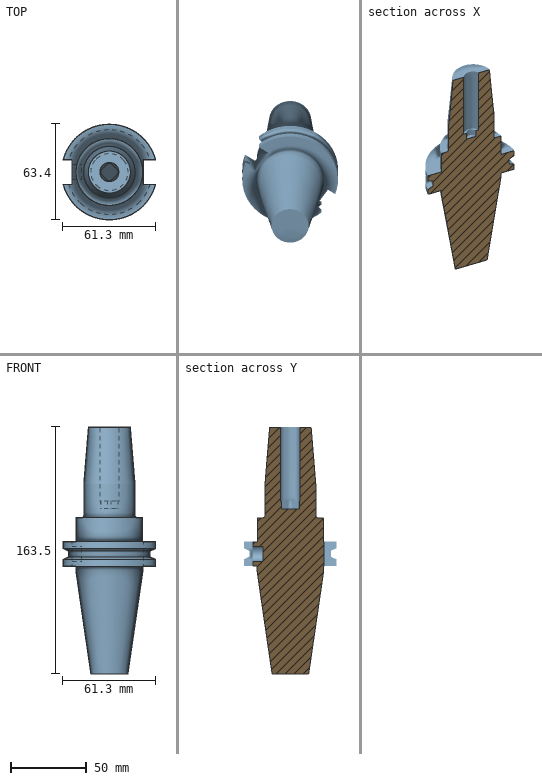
import cadquery as cq

total_height = 163.5
taper_height = 68.4
flange_bottom = 71.3
flange_top = 87.7
collar_top = 103.5
nose_start = 125.6

taper_small_radius = 12.3
taper_large_radius = 22.2
flange_radius = 31.7
groove_radius = 28.1
collar_radius = 22.0
neck_radius = 17.0
nose_tip_radius = 13.9
neck_fillet = 1.5

groove_floor_width = 3.8
groove_mouth_width = 7.4
flange_middle = (flange_bottom + flange_top) / 2

slot_width = 16.2
left_slot_floor = 24.9
right_slot_floor = 22.5

side_hole_diameter = 9.8
side_hole_depth = 6.5

bore_diameter = 12.6
bore_depth = 49.0
recess_across_flats = 9.6
recess_corner_diameter = 11.5
recess_depth = 4.9


def turned_body():
    """Revolve the taper, grooved flange, collar, neck and tapered nose about Z."""
    floor_half = groove_floor_width / 2
    mouth_half = groove_mouth_width / 2
    arc_offset = neck_fillet * (1 - 0.5**0.5)
    return (
        cq.Workplane("XZ")
        .lineTo(taper_small_radius, 0)
        .lineTo(taper_large_radius, taper_height)
        .lineTo(taper_large_radius, flange_bottom)
        .lineTo(flange_radius, flange_bottom)
        .lineTo(flange_radius, flange_middle - mouth_half)
        .lineTo(groove_radius, flange_middle - floor_half)
        .lineTo(groove_radius, flange_middle + floor_half)
        .lineTo(flange_radius, flange_middle + mouth_half)
        .lineTo(flange_radius, flange_top)
        .lineTo(collar_radius, flange_top)
        .lineTo(collar_radius, collar_top)
        .lineTo(neck_radius + neck_fillet, collar_top)
        .threePointArc(
            (neck_radius + arc_offset, collar_top + arc_offset),
            (neck_radius, collar_top + neck_fillet),
        )
        .lineTo(neck_radius, nose_start)
        .lineTo(nose_tip_radius, total_height)
        .lineTo(0, total_height)
        .close()
        .revolve(360, (0, 0, 0), (0, 1, 0))
    )


def drive_slot(side, floor):
    """Block that cuts a slot through the flange; side is -1 for -X, +1 for +X."""
    depth = flange_radius - floor
    return cq.Workplane("XY").box(depth, slot_width, flange_top - flange_bottom).translate(
        (side * (floor + depth / 2), 0, flange_middle)
    )


def side_hole():
    """Blind hole running in +X from the floor of the -X slot."""
    return (
        cq.Workplane("YZ", origin=(-left_slot_floor, 0, flange_middle))
        .circle(side_hole_diameter / 2)
        .extrude(side_hole_depth)
    )


def tool_bore():
    """Round bore from the nose."""
    return (
        cq.Workplane("XY", origin=(0, 0, total_height))
        .circle(bore_diameter / 2)
        .extrude(-bore_depth)
    )


def square_recess():
    """Square turned 45 degrees, its corners trimmed round, sunk into the bore floor."""
    floor = cq.Workplane("XY", origin=(0, 0, total_height - bore_depth))
    square = floor.rect(recess_across_flats, recess_across_flats).extrude(-recess_depth)
    round_corners = floor.circle(recess_corner_diameter / 2).extrude(-recess_depth)
    return square.rotate((0, 0, 0), (0, 0, 1), 45).intersect(round_corners)


result = (
    turned_body()
    .cut(drive_slot(-1, left_slot_floor))
    .cut(drive_slot(1, right_slot_floor))
    .cut(side_hole())
    .cut(tool_bore())
    .cut(square_recess())
)